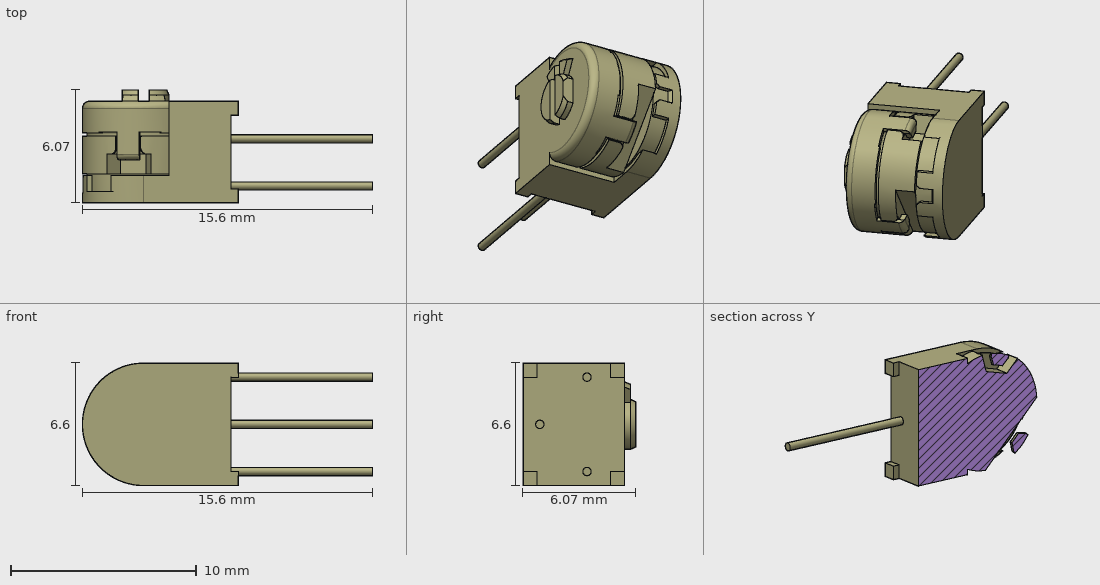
import cadquery as cq
import math


RADIUS = 3.3
FRONT_Y = 0.0
BACK_Y = 5.47
STEP_X = 1.375
FEET_X = 5.09
PIN_FACE_X = 4.70
FOOT_HEIGHT = 0.77
FRONT_FOOT_DEPTH = 0.75
BACK_FOOT_DEPTH = 0.77

CORE_RADIUS = 3.05
BASE_TOP_Y = 1.47
DRUM_Y0 = 1.56
FLAT_TOP_Y = 2.615
DRUM_Y1 = 3.58
CAP_Y0 = 3.76
CAP_EDGE_RADIUS = 0.4

TAB_ANGLES = (105, 225)
NOTCH_ANGLE, FLAT_ANGLE = TAB_ANGLES
TAB_WIDTH = 1.24
HOOK_INNER = 2.58
HOOK_TIP_WIDTH = 0.64
TAB_END_Y = 2.31
TAB_END_RADIUS = 0.3
TAB_CLEARANCE = 0.08
RELIEF_HALF_ANGLE = 31.5
RELIEF_DEPTH = 0.06
SLOT_ROUND = 0.3
SEAT_FLOOR = 2.2
NOTCH_FLOOR_WIDTH = 1.42
NOTCH_HALF_ANGLE = 21.7

SIDE_WINDOW_Z0 = 1.25
SIDE_WINDOW_Z1 = 2.80
SIDE_WINDOW_Y = 0.61
KEY_HALF_WIDTH = 0.40
KEY_MOUTH_HALF_WIDTH = 0.56
KEY_FLARE_Y = 1.28
KEY_SLOPE_RUN = 1.85
KEY_END_Y = 0.51

KNOB_RADIUS = 1.375
KNOB_TOP_Y = 6.07
KNOB_CHAMFER_HEIGHT = 0.28
KNOB_CHAMFER_WIDTH = 0.13
KNOB_FLAT_X = -1.165
SLOT_WIDTH = 0.58
POINTER_TOP_Y = 5.79
POINTER_BASE_RADIUS = 2.31
POINTER_TOP_RADIUS = 2.17
POINTER_HALF_ANGLE = 30.3

PIN_DIAMETER = 0.45
PIN_END_X = 12.32
PIN_PITCH = 2.54
MIDDLE_PIN_Y = 0.90
OUTER_PIN_Y = MIDDLE_PIN_Y + PIN_PITCH


def section(y):
    """Sketch plane across the axis at height y; local axes are X and Z."""
    return cq.Workplane("XZ", origin=(0, y, 0))


def disc(radius, y0, y1):
    return section(y0).circle(radius).extrude(y0 - y1)


def prism(points, y0, y1):
    return section(y0).polyline(points).close().extrude(y0 - y1)


def box(x0, x1, y0, y1, z0, z1):
    return cq.Workplane("XY").box(x1 - x0, y1 - y0, z1 - z0, centered=False).translate((x0, y0, z0))


def turned(shape, angle):
    """Turn a shape that points along +X to the given angle, measured from +X towards +Z."""
    return shape.rotate((0, 0, 0), (0, 1, 0), -angle)


def make_block():
    block = box(STEP_X, FEET_X, FRONT_Y, BACK_Y, -RADIUS, RADIUS)
    foot_z = RADIUS - FOOT_HEIGHT
    block = block.cut(box(PIN_FACE_X, FEET_X, FRONT_Y, BACK_Y, -foot_z, foot_z))
    y0 = FRONT_Y + FRONT_FOOT_DEPTH
    y1 = BACK_Y - BACK_FOOT_DEPTH
    return block.cut(box(PIN_FACE_X, FEET_X, y0, y1, -RADIUS, RADIUS))


def make_base():
    base = disc(RADIUS, FRONT_Y, BASE_TOP_Y)
    base = base.union(box(0, STEP_X, FRONT_Y, BASE_TOP_Y, -RADIUS, RADIUS))
    windows = box(-RADIUS, 0, SIDE_WINDOW_Y, BASE_TOP_Y, SIDE_WINDOW_Z0, SIDE_WINDOW_Z1)
    windows = windows.union(windows.mirror("XY"))
    windows = windows.cut(disc(CORE_RADIUS, FRONT_Y, BASE_TOP_Y))
    return base.cut(windows).cut(make_key_slot())


def make_key_slot():
    """Central window with a flared mouth and a sloping end wall."""
    outline = (
        cq.Workplane("YZ", origin=(-RADIUS, 0, 0))
        .polyline([
            (KEY_END_Y, -KEY_HALF_WIDTH),
            (KEY_FLARE_Y, -KEY_HALF_WIDTH),
            (BASE_TOP_Y, -KEY_MOUTH_HALF_WIDTH),
            (BASE_TOP_Y, KEY_MOUTH_HALF_WIDTH),
            (KEY_FLARE_Y, KEY_HALF_WIDTH),
            (KEY_END_Y, KEY_HALF_WIDTH),
        ])
        .close()
        .extrude(RADIUS)
    )
    ramp = (
        cq.Workplane("XY", origin=(0, 0, -RADIUS))
        .polyline([
            (-RADIUS, KEY_END_Y),
            (-RADIUS + KEY_SLOPE_RUN, BASE_TOP_Y),
            (-RADIUS, BASE_TOP_Y),
        ])
        .close()
        .extrude(2 * RADIUS)
    )
    return outline.intersect(ramp).cut(disc(CORE_RADIUS, FRONT_Y, BASE_TOP_Y))


def make_tab_slot():
    """Slot for one tab, as deep as the core, with rounded corners where it opens into the seat."""
    half = TAB_WIDTH / 2 + TAB_CLEARANCE
    mouth = half + SLOT_ROUND
    round_y = FLAT_TOP_Y + SLOT_ROUND
    return (
        cq.Workplane("YZ", origin=(CORE_RADIUS, 0, 0))
        .moveTo(DRUM_Y1, -half)
        .lineTo(round_y, -half)
        .radiusArc((FLAT_TOP_Y, -mouth), -SLOT_ROUND)
        .lineTo(FLAT_TOP_Y, mouth)
        .radiusArc((round_y, half), -SLOT_ROUND)
        .lineTo(DRUM_Y1, half)
        .close()
        .extrude(RADIUS)
    )


def make_notch():
    """Seat with walls that spread outwards from a flat floor to the rim."""
    rim_x = RADIUS * math.cos(math.radians(NOTCH_HALF_ANGLE))
    rim_z = RADIUS * math.sin(math.radians(NOTCH_HALF_ANGLE))
    floor_z = NOTCH_FLOOR_WIDTH / 2
    points = [
        (SEAT_FLOOR, -floor_z),
        (rim_x, -rim_z),
        (RADIUS, -rim_z),
        (RADIUS, rim_z),
        (rim_x, rim_z),
        (SEAT_FLOOR, floor_z),
    ]
    return prism(points, DRUM_Y0, FLAT_TOP_Y)


def make_drum():
    drum = disc(RADIUS, DRUM_Y0, DRUM_Y1)
    for angle in TAB_ANGLES:
        drum = drum.cut(turned(make_tab_slot(), angle))
    flat = box(SEAT_FLOOR, RADIUS, DRUM_Y0, FLAT_TOP_Y, -RADIUS, RADIUS)
    return drum.cut(turned(make_notch(), NOTCH_ANGLE)).cut(turned(flat, FLAT_ANGLE))


def make_tab_outline(y1):
    """Space kept for one tab up to height y1: parallel sides and a tapered hook inside the core radius."""
    outside = 2 * RADIUS
    half = TAB_WIDTH / 2
    half_tip = HOOK_TIP_WIDTH / 2
    points = [
        (HOOK_INNER, -half_tip),
        (CORE_RADIUS, -half),
        (outside, -half),
        (outside, half),
        (CORE_RADIUS, half),
        (HOOK_INNER, half_tip),
    ]
    return prism(points, TAB_END_Y, y1)


def make_cap():
    """Rounded cap whose skirt is cut away to leave only the tabs."""
    relief_y = CAP_Y0 + RELIEF_DEPTH
    outside = 2 * RADIUS
    half_span = outside * math.tan(math.radians(RELIEF_HALF_ANGLE))
    relief = prism([(0, 0), (outside, -half_span), (outside, half_span)], CAP_Y0, relief_y)
    relief = relief.cut(disc(CORE_RADIUS, CAP_Y0, relief_y))
    tab = make_tab_outline(relief_y)
    waste = disc(outside, TAB_END_Y, CAP_Y0)
    for angle in TAB_ANGLES:
        waste = waste.union(turned(relief, angle)).cut(turned(tab, angle))
    cap = disc(RADIUS, TAB_END_Y, BACK_Y)
    cap = cap.faces(">Y").edges().fillet(CAP_EDGE_RADIUS)
    cap = cap.faces("<Y").edges().fillet(TAB_END_RADIUS)
    return cap.cut(waste).union(disc(CORE_RADIUS, DRUM_Y1, CAP_Y0))


def make_pointer():
    """Sector with a sloping rim that marks the knob's +Z side."""
    height = POINTER_TOP_Y - BACK_Y
    cone = cq.Workplane(
        cq.Solid.makeCone(
            POINTER_BASE_RADIUS,
            POINTER_TOP_RADIUS,
            height,
            cq.Vector(0, BACK_Y, 0),
            cq.Vector(0, 1, 0),
        )
    )
    reach = 2 * POINTER_BASE_RADIUS
    half_span = reach * math.tan(math.radians(POINTER_HALF_ANGLE))
    wedge = prism([(0, 0), (half_span, reach), (-half_span, reach)], BACK_Y, POINTER_TOP_Y)
    return cone.intersect(wedge)


def make_knob():
    """Slotted, chamfered boss with one flat side and a pointer."""
    profile = [
        (0, BACK_Y),
        (KNOB_RADIUS, BACK_Y),
        (KNOB_RADIUS, KNOB_TOP_Y - KNOB_CHAMFER_HEIGHT),
        (KNOB_RADIUS - KNOB_CHAMFER_WIDTH, KNOB_TOP_Y),
        (0, KNOB_TOP_Y),
    ]
    knob = cq.Workplane("XY").polyline(profile).close().revolve(360, (0, 0, 0), (0, 1, 0))
    knob = knob.cut(box(-KNOB_RADIUS, KNOB_FLAT_X, BACK_Y, KNOB_TOP_Y, -KNOB_RADIUS, KNOB_RADIUS))
    half_slot = SLOT_WIDTH / 2
    reach = POINTER_BASE_RADIUS
    slot = box(-half_slot, half_slot, BACK_Y, KNOB_TOP_Y, -reach, reach)
    return knob.union(make_pointer()).cut(slot)


def make_pin(y, z):
    return (
        cq.Workplane("YZ", origin=(STEP_X, y, z))
        .circle(PIN_DIAMETER / 2)
        .extrude(PIN_END_X - STEP_X)
    )


result = make_base().union(disc(CORE_RADIUS, FRONT_Y, DRUM_Y0))
result = result.union(make_drum()).union(make_cap()).union(make_block()).union(make_knob())
result = result.union(make_pin(MIDDLE_PIN_Y, 0))
for pin_z in (-PIN_PITCH, PIN_PITCH):
    result = result.union(make_pin(OUTER_PIN_Y, pin_z))